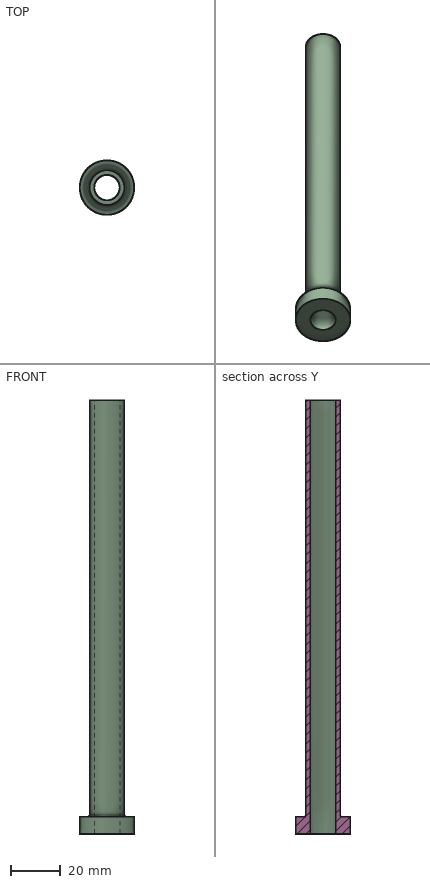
import cadquery as cq

total_length = 175.0
head_diameter = 22.0
head_thickness = 7.0
tube_diameter = 14.0
bore_diameter = 10.2
neck_fillet = 0.7

head = cq.Workplane("XY").circle(head_diameter / 2).extrude(head_thickness)
tube = cq.Workplane("XY").circle(tube_diameter / 2).extrude(total_length)
sleeve = head.union(tube)

head_top = sleeve.faces(cq.selectors.NearestToPointSelector((0, 0, head_thickness)))
neck_edge = head_top.edges(cq.selectors.RadiusNthSelector(0))
sleeve = neck_edge.fillet(neck_fillet)

bore = cq.Workplane("XY").circle(bore_diameter / 2).extrude(total_length)
result = sleeve.cut(bore)